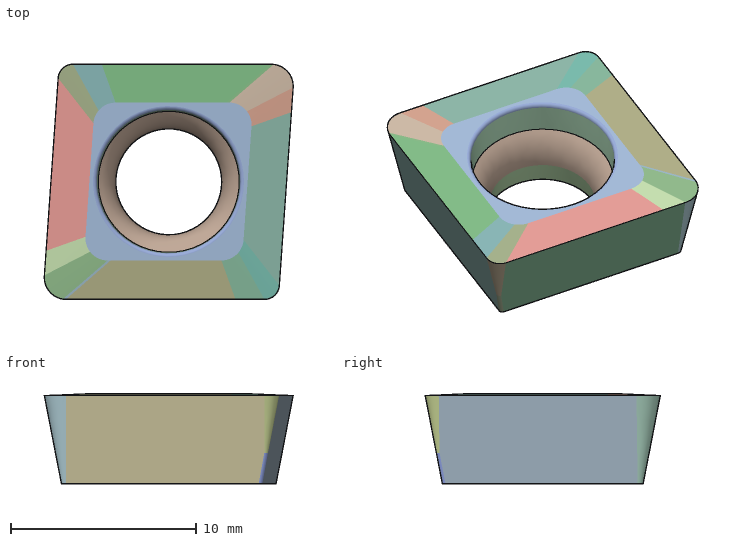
import cadquery as cq
import math

half_width = 6.35
height = 4.87
rim_height = 4.77
skew = math.radians(4)
relief = math.tan(math.radians(11))
acute_radius = 1.2
obtuse_radius = 0.8
least_radius = 0.2

plateau_half_width = 4.26
plateau_radius = 1.2
blend_on_acute_side = 1.33
blend_on_obtuse_side = 1.56
sliver_length = 0.16
sliver_angle = math.radians(8)
acute_split = 0.56
obtuse_split = 0.42

hole_radius = 2.85
exit_radius = 3.04
mouth_radius = 3.87
seat_radius = 3.8
mouth_round = 0.2
seat_top = 3.09
seat_bottom = 1.28

RIGHT_ANGLE = math.pi / 2
ACUTE_SWEEP = RIGHT_ANGLE + skew
OBTUSE_SWEEP = RIGHT_ANGLE - skew
CORNERS = [
    (1, 1, RIGHT_ANGLE, ACUTE_SWEEP),
    (1, -1, -skew, OBTUSE_SWEEP),
    (-1, -1, -RIGHT_ANGLE, ACUTE_SWEEP),
    (-1, 1, math.pi - skew, OBTUSE_SWEEP),
]


def is_acute(corner):
    return corner[3] == ACUTE_SWEEP


def corner_point(corner, half, radius, turn, z):
    """Point on a corner arc after turning clockwise from its start."""
    x_sign, y_sign, start, _ = corner
    inset = half - radius
    angle = start - turn
    x = inset * (x_sign / math.cos(skew) + y_sign * math.tan(skew)) + radius * math.cos(angle)
    y = inset * y_sign + radius * math.sin(angle)
    return cq.Vector(x, y, z)


def corner_arc(corner, half, radius, turn_from, turn_to, z):
    turns = (turn_from, (turn_from + turn_to) / 2, turn_to)
    return cq.Edge.makeThreePointArc(*[corner_point(corner, half, radius, t, z) for t in turns])


def step_along(start, end, length):
    return start + (end - start).normalized() * length


def half_width_at(z):
    return half_width - (rim_height - z) * relief


def body_section(z):
    """Tapering acute corners with obtuse corners kept at their least radius."""
    half = half_width_at(z)
    acute = acute_radius - (half_width - half)
    edges = []
    for i, corner in enumerate(CORNERS):
        following = CORNERS[(i + 1) % len(CORNERS)]
        radius, next_radius = (acute, least_radius) if is_acute(corner) else (least_radius, acute)
        end = corner_point(corner, half, radius, corner[3], z)
        next_start = corner_point(following, half, next_radius, 0, z)
        edges.append(corner_arc(corner, half, radius, 0, corner[3], z))
        edges.append(cq.Edge.makeLine(end, next_start))
    return cq.Wire.assembleEdges(edges)


def corner_waste_section(corner, z):
    """Region between an obtuse corner's conical rounding and its sharp point."""
    half = half_width_at(z)
    radius = obtuse_radius - (half_width - half)
    sweep = corner[3]
    sharp = corner_point(corner, half, 0, 0, z)
    return cq.Wire.assembleEdges([
        corner_arc(corner, half, radius, 0, sweep, z),
        cq.Edge.makeLine(corner_point(corner, half, radius, sweep, z), sharp),
        cq.Edge.makeLine(sharp, corner_point(corner, half, radius, 0, z)),
    ])


def make_body():
    taper_end = rim_height - (obtuse_radius - least_radius) / relief
    body = cq.Workplane(cq.Solid.makeLoft([body_section(0), body_section(rim_height)], True))
    for corner in CORNERS:
        if not is_acute(corner):
            levels = (taper_end, rim_height)
            waste = cq.Solid.makeLoft([corner_waste_section(corner, z) for z in levels], True)
            body = body.cut(cq.Workplane(waste))
    return body


def make_cap():
    """Sloping facets from the rim up to the plateau, closed into a solid."""
    rim = []
    plateau = []
    for i, corner in enumerate(CORNERS):
        following = CORNERS[(i + 1) % len(CORNERS)]
        sweep = corner[3]
        acute = is_acute(corner)
        radius = acute_radius if acute else obtuse_radius
        next_radius = obtuse_radius if acute else acute_radius
        blend = blend_on_acute_side if acute else blend_on_obtuse_side
        split = sweep * (acute_split if acute else obtuse_split)

        rim_end = corner_point(corner, half_width, radius, sweep, rim_height)
        rim_next = corner_point(following, half_width, next_radius, 0, rim_height)
        rim_blend = step_along(rim_end, rim_next, blend)
        top_start = corner_point(corner, plateau_half_width, plateau_radius, 0, height)
        top_end = corner_point(corner, plateau_half_width, plateau_radius, sweep, height)
        top_next = corner_point(following, plateau_half_width, plateau_radius, 0, height)

        arc_start = 0
        if acute:
            previous = CORNERS[i - 1]
            top_before = corner_point(
                previous, plateau_half_width, plateau_radius, previous[3], height)
            sliver_start = step_along(top_start, top_before, sliver_length)
            rim.append(corner_arc(corner, half_width, radius, 0, sliver_angle, rim_height))
            plateau.append(cq.Edge.makeLine(sliver_start, top_start))
            arc_start = sliver_angle
        else:
            top_next = step_along(top_next, top_end, sliver_length)

        rim.append(corner_arc(corner, half_width, radius, arc_start, sweep, rim_height))
        plateau.append(corner_arc(corner, plateau_half_width, plateau_radius, 0, split, height))
        rim.append(cq.Edge.makeLine(rim_end, rim_blend))
        plateau.append(corner_arc(corner, plateau_half_width, plateau_radius, split, sweep, height))
        rim.append(cq.Edge.makeLine(rim_blend, rim_next))
        plateau.append(cq.Edge.makeLine(top_end, top_next))

    faces = [cq.Face.makeRuledSurface(low, high) for low, high in zip(rim, plateau)]
    faces.append(cq.Face.makeFromWires(cq.Wire.assembleEdges(rim)))
    faces.append(cq.Face.makeFromWires(cq.Wire.assembleEdges(plateau)))
    return cq.Workplane(cq.Solid.makeSolid(cq.Shell.makeShell(faces)).fix())


def make_hole():
    """Through hole with a convex screw seat and a rounded mouth."""
    seat_rise = seat_top - seat_bottom
    seat_run = seat_radius - hole_radius
    seat_curve = (seat_rise**2 + seat_run**2) / (2 * seat_run)
    half_turn = math.asin(seat_rise / seat_curve) / 2
    seat_middle = (
        hole_radius + seat_curve * (1 - math.cos(half_turn)),
        seat_bottom + seat_curve * math.sin(half_turn),
    )
    round_reach = mouth_round * (1 - math.sqrt(0.5))
    return (
        cq.Workplane("XZ")
        .moveTo(0, 0)
        .lineTo(exit_radius, 0)
        .lineTo(hole_radius, seat_bottom)
        .threePointArc(seat_middle, (seat_radius, seat_top))
        .lineTo(mouth_radius, height - mouth_round)
        .threePointArc(
            (mouth_radius + round_reach, height - round_reach),
            (mouth_radius + mouth_round, height),
        )
        .lineTo(0, height)
        .close()
        .revolve(360, (0, 0), (0, 1))
    )


result = make_body().union(make_cap()).cut(make_hole())